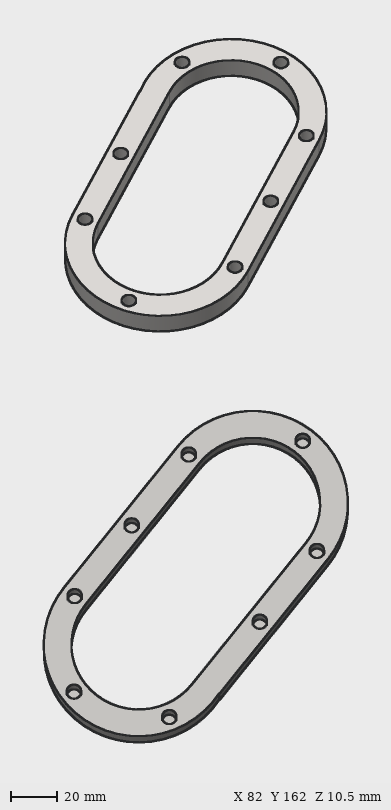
import cadquery as cq
import math

length = 162.0
outer_radius = 41.0
inner_radius = 29.0
thickness = 10.5
hole_diameter = 6.3
hole_depth = 8.0
left_arc_end_y = 36.0

arc_center_y = length / 2 - outer_radius
bolt_radius = (outer_radius + inner_radius) / 2
upper_hole_angles = (0, 75, 150)
left_arc_end_x = -math.sqrt(outer_radius**2 - (arc_center_y - left_arc_end_y)**2)


def outer_body():
    """Long rounded plate with a slight step at the left end of its upper arc."""
    return (
        cq.Workplane("XY")
        .moveTo(-outer_radius, -arc_center_y)
        .threePointArc((0, -length / 2), (outer_radius, -arc_center_y))
        .lineTo(outer_radius, arc_center_y)
        .threePointArc((0, length / 2), (left_arc_end_x, left_arc_end_y))
        .lineTo(-outer_radius, left_arc_end_y)
        .close()
        .extrude(thickness)
    )


def inner_opening():
    slot_length = 2 * (arc_center_y + inner_radius)
    return cq.Workplane("XY").slot2D(slot_length, 2 * inner_radius, 90).extrude(thickness)


def hole_centers():
    """Holes along both sides, at the lower end and around the upper arc."""
    centers = [
        (-bolt_radius, 0),
        (bolt_radius, 0),
        (-bolt_radius, -arc_center_y),
        (bolt_radius, -arc_center_y),
        (0, -arc_center_y - bolt_radius),
    ]
    for degrees in upper_hole_angles:
        angle = math.radians(degrees)
        x = bolt_radius * math.cos(angle)
        y = arc_center_y + bolt_radius * math.sin(angle)
        centers.append((x, y))
    return centers


def bolt_holes():
    return (
        cq.Workplane("XY")
        .workplane(offset=thickness - hole_depth)
        .pushPoints(hole_centers())
        .circle(hole_diameter / 2)
        .extrude(hole_depth)
    )


result = outer_body().cut(inner_opening()).cut(bolt_holes())